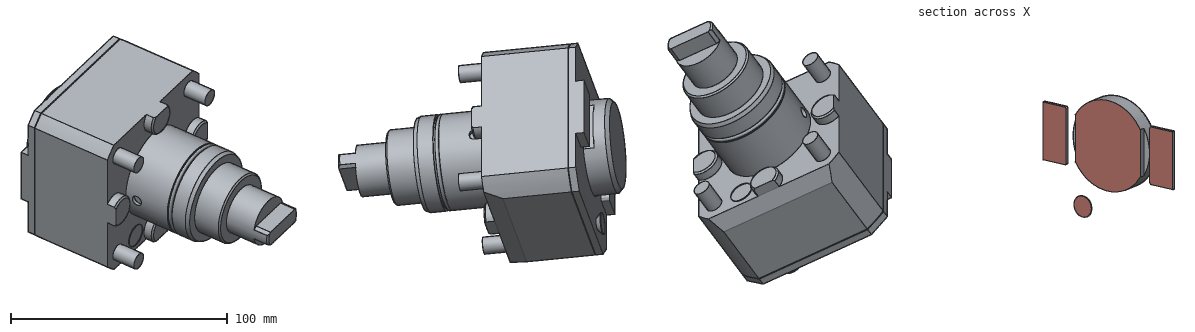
import cadquery as cq
import math


width = 75.0
height = 77.5
half_width = width / 2
bottom_drop = height - half_width
corner_radius = 49.4
plate_front = 12.5
seam_start = 16.0
seam_width = 0.3
seam_depth = 0.3
body_rear = 56.8
ramp_length = 8.4

nose_radius = 22.0
nose_chamfer = 1.9
nose_flat_start = 7.5
nose_flat_offset = 18.8
nose_bore_radius = 22.5

shank_radius = 44.8 / 2
shank_end = 91.8
shank_chamfer_length = 1.9
shank_chamfer_drop = 0.8
collar_radius = 17.5
collar_end = 105.8
end_chamfer = 0.8
spindle_radius = 12.0
spindle_end = 121.0
overall_length = 129.0
tang_half_thickness = 3.9
tang_chamfer_y = 1.7
tang_chamfer_z = 1.2
tang_flat_half_width = 9.9

groove_start = 79.9
groove_width = 2.7
groove_depth = 1.2
ring_radius = 0.97

cross_hole_x = 63.0
cross_hole_radius = 5.0 / 2
cross_hole_floor = 20.6

pad_height = 3.9
pad_inner = 24.0
pad_half_length = 14.0
pad_corner_radius = 1.0

button_radius = 7.5
button_height = 4.8
button_offset = 32.5
button_chamfer = 0.8

bolt_offset = 29.0
bolt_radius = 4.0
bolt_end = 68.5

screw_y = -14.6
screw_z = -32.2
screw_head_radius = 5.2
screw_front = 9.8
screw_rim = 0.4

seal_z = -29.2
seal_radius = 5.5
seal_height = 0.4


def bar(x_start, x_end, radius, y=0, z=0):
    """Cylinder along X."""
    circle = cq.Workplane("YZ", origin=(x_start, y, z)).circle(radius)
    return circle.extrude(x_end - x_start)


def block(x_start, x_end, y_start, y_end, z_start, z_end):
    """Box given by its limits."""
    size = (x_end - x_start, y_end - y_start, z_end - z_start)
    return cq.Workplane("XY", origin=(x_start, y_start, z_start)).box(*size, centered=False)


def housing_section(x_start, x_end, inset=0):
    """Housing cross-section between two X positions: flat sides with turned corners."""
    side = half_width - inset
    section = block(x_start, x_end, -side, side, inset - bottom_drop, side)
    return section.intersect(bar(x_start, x_end, corner_radius - inset))


def plate_section(x_start, x_end):
    """Front plate: the housing outline with straight corners."""
    top_y = math.sqrt(corner_radius**2 - half_width**2)
    bottom_y = math.sqrt(corner_radius**2 - bottom_drop**2)
    right_side = [
        (bottom_y, -bottom_drop),
        (half_width, -top_y),
        (half_width, top_y),
        (top_y, half_width),
    ]
    left_side = [(-y, z) for y, z in reversed(right_side)]
    outline = cq.Workplane("YZ", origin=(x_start, 0, 0)).polyline(right_side + left_side).close()
    return outline.extrude(x_end - x_start)


def make_housing():
    seam_end = seam_start + seam_width
    plate = plate_section(plate_front, seam_start)
    plate = plate.cut(bar(plate_front, seam_start, nose_bore_radius))
    seam = housing_section(seam_start, seam_end, seam_depth)
    body = housing_section(seam_end, body_rear)
    ramp = (
        cq.Workplane("XZ", origin=(0, half_width, 0))
        .moveTo(body_rear - ramp_length, -bottom_drop)
        .lineTo(body_rear, -half_width)
        .lineTo(body_rear, -bottom_drop)
        .close()
        .extrude(2 * half_width)
    )
    return plate.union(seam).union(body.cut(ramp))


def make_nose():
    nose = bar(0, seam_start + seam_width, nose_radius).faces("<X").chamfer(nose_chamfer)
    for side in (-1, 1):
        y_limits = sorted((side * nose_flat_offset, side * half_width))
        nose = nose.cut(
            block(nose_flat_start, plate_front, *y_limits, -nose_radius, nose_radius)
        )
    return nose


def make_shank():
    shank = bar(body_rear, shank_end, shank_radius)
    shank = shank.faces(">X").chamfer(shank_chamfer_length, shank_chamfer_drop)
    groove_floor = shank_radius - groove_depth
    groove_end = groove_start + groove_width
    groove = bar(groove_start, groove_end, shank_radius)
    shank = shank.cut(groove.cut(bar(groove_start, groove_end, groove_floor)))
    ring = (
        cq.Workplane("XY")
        .moveTo(groove_start + ring_radius, shank_radius - ring_radius)
        .circle(ring_radius)
        .revolve(360, (0, 0), (1, 0))
    )
    shank = shank.union(ring)
    for side in (-1, 1):
        hole = (
            cq.Workplane("XZ", origin=(cross_hole_x, side * cross_hole_floor, 0))
            .circle(cross_hole_radius)
            .extrude(-side * shank_radius)
        )
        shank = shank.cut(hole)
    return shank


def make_spindle():
    collar = bar(shank_end, collar_end, collar_radius).faces(">X").chamfer(end_chamfer)
    spindle = bar(collar_end, overall_length, spindle_radius).faces(">X").chamfer(end_chamfer)
    slab_half_width = tang_flat_half_width + tang_chamfer_y
    chamfer_edge = tang_half_thickness - tang_chamfer_z
    upper_side = [
        (spindle_radius, chamfer_edge),
        (slab_half_width, chamfer_edge),
        (tang_flat_half_width, tang_half_thickness),
    ]
    upper = upper_side + [(-y, z) for y, z in reversed(upper_side)]
    lower = [(-y, -z) for y, z in upper]
    tang = (
        cq.Workplane("YZ", origin=(spindle_end, 0, 0))
        .polyline(upper + lower)
        .close()
        .extrude(overall_length - spindle_end)
    )
    waste = block(
        spindle_end, overall_length,
        -spindle_radius, spindle_radius, -spindle_radius, spindle_radius,
    ).cut(tang)
    return collar.union(spindle.cut(waste))


def make_pad():
    """Front pad on the +Y side."""
    pad = block(
        plate_front - pad_height, plate_front,
        pad_inner, half_width, -pad_half_length, pad_half_length,
    )
    return pad.edges("|X and <Y").fillet(pad_corner_radius)


def make_button():
    """Locating button at the top, trimmed flush with the housing."""
    button = bar(body_rear, body_rear + button_height, button_radius, z=button_offset)
    button = button.faces(">X").chamfer(button_chamfer)
    trim = block(
        body_rear, body_rear + button_height,
        -half_width, half_width, -half_width, half_width,
    )
    return button.intersect(trim)


def make_screw():
    """Countersunk screw head standing out of the plate, tapering at 45 degrees."""
    tip_x = screw_front + screw_rim + screw_head_radius
    return (
        cq.Workplane("XY", origin=(0, screw_y, screw_z))
        .moveTo(screw_front, 0)
        .lineTo(screw_front, screw_head_radius)
        .lineTo(screw_front + screw_rim, screw_head_radius)
        .lineTo(tip_x, 0)
        .close()
        .revolve(360, (0, 0), (1, 0))
    )


result = make_housing()

pad = make_pad()
for angle in (0, 180):
    result = result.union(pad.rotate((0, 0, 0), (1, 0, 0), angle))

result = result.union(make_nose()).union(make_shank()).union(make_spindle())

button = make_button()
for angle in (0, 90, 180, 270):
    result = result.union(button.rotate((0, 0, 0), (1, 0, 0), angle))

for y_side in (-1, 1):
    for z_side in (-1, 1):
        bolt = bar(body_rear, bolt_end, bolt_radius, y_side * bolt_offset, z_side * bolt_offset)
        result = result.union(bolt)

result = result.union(make_screw())

port_seal = bar(body_rear, body_rear + seal_height, seal_radius, screw_y, seal_z)
result = result.union(port_seal)